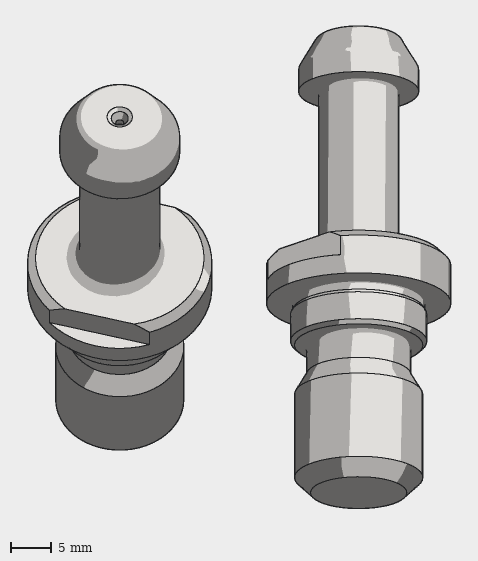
import cadquery as cq
import math

total_height = 60.0
CONE_SLOPE = math.tan(math.radians(30.0))
MATCH_TOLERANCE = 1e-4

head_radius = 15.0 / 2
head_height = 7.0
head_cone_height = 4.0
head_round = 1.0
head_bottom = total_height - head_height
head_cone_bottom = total_height - head_cone_height
head_top_radius = head_radius - head_cone_height * CONE_SLOPE

shank_radius = 10.0 / 2
shank_top_fillet = 0.5
shank_bottom_fillet = 2.0

flange_radius = 23.0 / 2
flange_height = 6.0
flange_chamfer = 1.0
flange_top = 31.0
flange_bottom = flange_top - flange_height
flat_width = 19.0
flat_height = 3.5

undercut_radius = 16.5 / 2
undercut_height = 1.0
undercut_fillet = 0.2
collar_radius = 17.0 / 2
collar_bottom_chamfer = 0.5
collar_bottom = 19.5
collar_top = flange_bottom - undercut_height
collar_cone_height = (collar_radius - undercut_radius) / CONE_SLOPE

neck_radius = 13.0 / 2
neck_fillet = 0.8
thread_radius = 16.0 / 2
thread_top = 13.0
thread_chamfer = 2.0
neck_bottom = thread_top + (thread_radius - neck_radius) / CONE_SLOPE

guard_radius = 3.15 / 2
centre_radius = 2.12 / 2
pilot_radius = 1.0 / 2
pilot_length = 0.8
guard_depth = (guard_radius - centre_radius) * CONE_SLOPE
centre_depth = guard_depth + (centre_radius - pilot_radius) / CONE_SLOPE
pilot_depth = centre_depth + pilot_length
tip_depth = pilot_depth + pilot_radius * CONE_SLOPE


def revolve_profile(points):
    """Revolve a closed (radius, z) outline about the Z axis."""
    return cq.Workplane("XZ").polyline(points).close().revolve(360, (0, 0, 0), (0, 1, 0))


def make_body():
    """Sharp-edged turned body."""
    return revolve_profile([
        (0, 0),
        (thread_radius - thread_chamfer, 0),
        (thread_radius, thread_chamfer),
        (thread_radius, thread_top),
        (neck_radius, neck_bottom),
        (neck_radius, collar_bottom),
        (collar_radius - collar_bottom_chamfer, collar_bottom),
        (collar_radius, collar_bottom + collar_bottom_chamfer),
        (collar_radius, collar_top - collar_cone_height),
        (undercut_radius, collar_top),
        (undercut_radius, flange_bottom),
        (flange_radius, flange_bottom),
        (flange_radius, flange_top - flange_chamfer),
        (flange_radius - flange_chamfer, flange_top),
        (shank_radius, flange_top),
        (shank_radius, head_bottom),
        (head_radius, head_bottom),
        (head_radius, head_cone_bottom),
        (head_top_radius, total_height),
        (0, total_height),
    ])


def round_turned_edges(body):
    """Round the turned corners, each given as (radius, z, fillet size)."""
    corners = [
        (neck_radius, collar_bottom, neck_fillet),
        (undercut_radius, flange_bottom, undercut_fillet),
        (shank_radius, flange_top, shank_bottom_fillet),
        (shank_radius, head_bottom, shank_top_fillet),
        (head_radius, head_cone_bottom, head_round),
        (head_top_radius, total_height, head_round),
    ]
    for radius, z, size in corners:
        corner = [
            edge for edge in body.edges("%CIRCLE").vals()
            if math.isclose(edge.radius(), radius, abs_tol=MATCH_TOLERANCE)
            and math.isclose(edge.Center().z, z, abs_tol=MATCH_TOLERANCE)
        ]
        body = body.newObject(corner).fillet(size)
    return body


def make_wrench_flats():
    """Material removed beside the two parallel flats facing -Y and +Y."""
    side = 2 * flange_radius
    floor = cq.Workplane("XY", origin=(0, 0, flange_top - flat_height))
    block = floor.rect(side, side).extrude(flat_height)
    kept_middle = floor.rect(side, flat_width).extrude(flat_height)
    return block.cut(kept_middle)


def make_centre_hole():
    """Stepped conical centre hole, opening upwards."""
    return revolve_profile([
        (0, total_height),
        (guard_radius, total_height),
        (centre_radius, total_height - guard_depth),
        (pilot_radius, total_height - centre_depth),
        (pilot_radius, total_height - pilot_depth),
        (0, total_height - tip_depth),
    ])


body = round_turned_edges(make_body())
result = body.cut(make_wrench_flats()).cut(make_centre_hole())